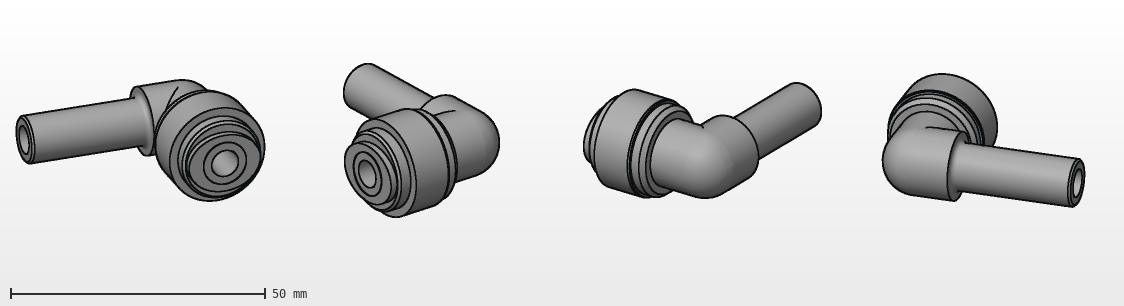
import cadquery as cq


body_radius = 6.9
body_drop = 8.45
bore_radius = 2.8

overall_length = 43.2
spigot_radius = 4.8
spigot_chamfer = 0.45
flare_radius = 1.0

neck_radius = 9.35
neck_start = 8.3
neck_chamfer_length = 1.1
neck_chamfer_depth = 0.85
sleeve_radius = 10.0
sleeve_start = 11.28
sleeve_end = 19.65
sleeve_chamfer_length = 0.4
sleeve_chamfer_depth = 0.17
cap_radius = 8.25
cap_end = 22.5
cap_chamfer = 0.5

flange_half_width = 7.5
flange_half_height = 6.05
flange_end = 23.98
lip_radius = 4.5
lip_end = 24.1

spigot_end = overall_length - sleeve_radius


def rounded_elbow(radius, socket_reach, spigot_reach):
    """Two equal cylinders joined by a sphere at the crossing of their axes."""
    socket_leg = cq.Workplane("YZ").circle(radius).extrude(socket_reach)
    spigot_leg = cq.Workplane("XZ").circle(radius).extrude(spigot_reach)
    corner = cq.Workplane("XY").sphere(radius)
    return socket_leg.union(spigot_leg).union(corner)


def make_spigot():
    """Revolved tube stub with a flared root and a chamfered tip."""
    return (
        cq.Workplane("XY")
        .lineTo(0, -body_drop)
        .lineTo(spigot_radius + flare_radius, -body_drop)
        .radiusArc((spigot_radius, -body_drop - flare_radius), -flare_radius)
        .lineTo(spigot_radius, -spigot_end + spigot_chamfer)
        .lineTo(spigot_radius - spigot_chamfer, -spigot_end)
        .lineTo(0, -spigot_end)
        .close()
        .revolve(360, (0, 0, 0), (0, 1, 0))
    )


def make_collar():
    """Stepped round collar: neck, sleeve and end cap."""
    profile = [
        (neck_start, 0),
        (neck_start, neck_radius - neck_chamfer_depth),
        (neck_start + neck_chamfer_length, neck_radius),
        (sleeve_start, neck_radius),
        (sleeve_start, sleeve_radius - sleeve_chamfer_depth),
        (sleeve_start + sleeve_chamfer_length, sleeve_radius),
        (sleeve_end, sleeve_radius),
        (sleeve_end, cap_radius),
        (cap_end - cap_chamfer, cap_radius),
        (cap_end, cap_radius - cap_chamfer),
        (cap_end, 0),
    ]
    return cq.Workplane("XY").polyline(profile).close().revolve(360, (0, 0, 0), (1, 0, 0))


def make_collet():
    """Oval flange on the cap, carrying a low round lip."""
    flange = (
        cq.Workplane("YZ", origin=(cap_end, 0, 0))
        .ellipse(flange_half_width, flange_half_height)
        .extrude(flange_end - cap_end)
    )
    lip = (
        cq.Workplane("YZ", origin=(flange_end, 0, 0))
        .circle(lip_radius)
        .extrude(lip_end - flange_end)
    )
    return flange.union(lip)


body = rounded_elbow(body_radius, neck_start, body_drop)
outside = body.union(make_spigot()).union(make_collar()).union(make_collet())

result = outside.cut(rounded_elbow(bore_radius, lip_end, spigot_end))